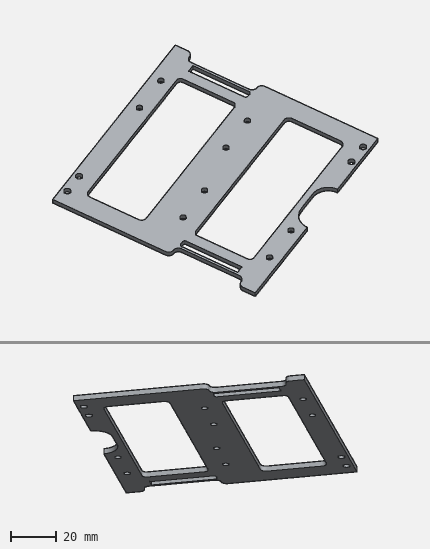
import cadquery as cq

SIDE = 105.0
THICKNESS = 2.5
HALF = SIDE / 2

WINDOW_WIDTH = 30.0
WINDOW_LENGTH = 80.0
WINDOW_CENTER = (-26.4, -2.7)
WINDOW_FAR_RADIUS = 2.5
WINDOW_SLOT_SIDE_RADIUS = 2.0

RECESS_WIDTH = 35.0
RECESS_DEPTH = 5.0
RECESS_CENTER_X = -26.1
RECESS_RADIUS = RECESS_DEPTH / 2

SLOT_LENGTH = WINDOW_WIDTH
SLOT_WIDTH = 3.7
SLOT_CENTER = (-24.6, 44.4)
SLOT_RADIUS = 1.0

MOUNT_DIAMETER = 2.8
MOUNT_SPACING_X = 44.8
MOUNT_SPACING_Y = 18.4
MOUNT_CENTER = (-24.8, 22.3)

PAIR_DIAMETER = 3.2
PAIR_SPACING = 10.1
PAIR_CENTER = (-49.5, -39.9)

EDGE_CUT_LENGTH = 25.8
EDGE_CUT_DEPTH = 8.0
EDGE_CUT_CENTER_Y = 5.0


def block(length, width, center):
    """Rectangular cutter through the full thickness."""
    return cq.Workplane("XY").center(*center).rect(length, width).extrude(THICKNESS)


def window():
    return (
        block(WINDOW_WIDTH, WINDOW_LENGTH, WINDOW_CENTER)
        .edges("|Z and >Y")
        .fillet(WINDOW_SLOT_SIDE_RADIUS)
        .edges("|Z and <Y")
        .fillet(WINDOW_FAR_RADIUS)
    )


def slot():
    return block(SLOT_LENGTH, SLOT_WIDTH, SLOT_CENTER).edges("|Z and >X").fillet(SLOT_RADIUS)


def recess():
    left = RECESS_CENTER_X - RECESS_WIDTH / 2
    right = RECESS_CENTER_X + RECESS_WIDTH / 2
    radius = RECESS_RADIUS
    return (
        cq.Workplane("XY")
        .moveTo(left - radius, HALF)
        .radiusArc((left, HALF - radius), radius)
        .radiusArc((left + radius, HALF - RECESS_DEPTH), -radius)
        .lineTo(right - radius, HALF - RECESS_DEPTH)
        .radiusArc((right, HALF - radius), -radius)
        .radiusArc((right + radius, HALF), radius)
        .close()
        .extrude(THICKNESS)
    )


def mount_holes():
    return (
        cq.Workplane("XY")
        .center(*MOUNT_CENTER)
        .rarray(MOUNT_SPACING_X, MOUNT_SPACING_Y, 2, 2)
        .circle(MOUNT_DIAMETER / 2)
        .extrude(THICKNESS)
    )


def hole_pair():
    return (
        cq.Workplane("XY")
        .center(*PAIR_CENTER)
        .rarray(1, PAIR_SPACING, 1, 2)
        .circle(PAIR_DIAMETER / 2)
        .extrude(THICKNESS)
    )


def edge_cutout():
    return (
        block(2 * EDGE_CUT_DEPTH, EDGE_CUT_LENGTH, (HALF, EDGE_CUT_CENTER_Y))
        .edges("|Z and <X")
        .fillet(EDGE_CUT_DEPTH)
    )


result = block(SIDE, SIDE, (0, 0))
for make_cutter in (window, slot, recess, mount_holes, hole_pair):
    cutter = make_cutter()
    for angle in (0, 180):
        result = result.cut(cutter.rotate((0, 0, 0), (0, 0, 1), angle))
result = result.cut(edge_cutout())